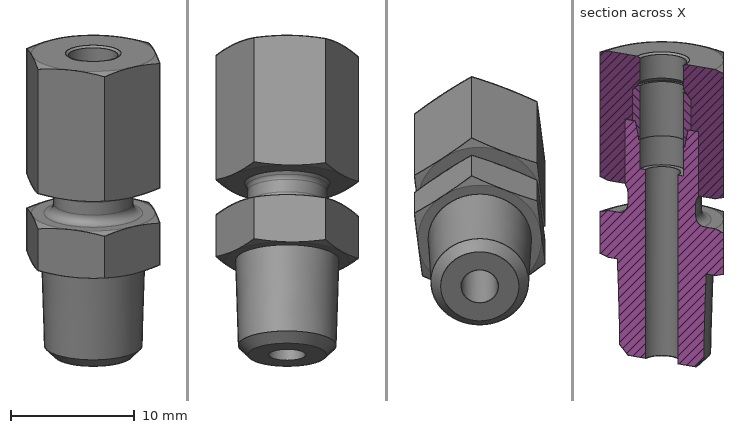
import cadquery as cq
import math

total_height = 25.5
thread_length = 8.0
body_hex_top = 12.0
nut_bottom = 14.5
body_top = 20.0

across_flats = 10.0
hex_corner_diameter = across_flats / math.cos(math.pi / 6)
hex_chamfer_angle = math.radians(17)

pipe_thread_tip_diameter = 7.9
pipe_thread_taper = 1 / 16
pipe_thread_chamfer = 0.8
neck_diameter = 6.4
neck_fillet_radius = 0.8
nut_thread_diameter = 6.9
runout_angle = math.radians(30)
flow_bore_diameter = 3.0
tube_diameter = 4.0
tube_stop_height = 16.01

ferrule_diameter = 5.5
ferrule_top = 23.05
ferrule_top_diameter = 4.6
ferrule_nose_diameter = 4.9
ferrule_nose_length = 1.53
ferrule_nose_angle = math.radians(12)

mouth_diameter = 4.5
mouth_chamfer_depth = 0.15


def revolve_profile(profile):
    """Turn a closed (radius, height) profile about the Z axis."""
    return profile.close().revolve(360, (0, 0, 0), (0, 1, 0))


def cylinder(diameter, bottom, top):
    """Upright cylinder on the Z axis between two heights."""
    return cq.Workplane("XY").workplane(offset=bottom).circle(diameter / 2).extrude(top - bottom)


def chamfered_hex(bottom, top):
    """Hexagonal prism, corners along Y, both ends turned down to the flats."""
    prism = (
        cq.Workplane("XY")
        .workplane(offset=bottom)
        .polygon(6, hex_corner_diameter)
        .extrude(top - bottom)
        .rotate((0, 0, 0), (0, 0, 1), 30)
    )
    flat_radius = across_flats / 2
    corner_radius = hex_corner_diameter / 2
    drop = (corner_radius - flat_radius) * math.tan(hex_chamfer_angle)
    envelope = revolve_profile(
        cq.Workplane("XZ")
        .moveTo(0, bottom)
        .lineTo(flat_radius, bottom)
        .lineTo(corner_radius, bottom + drop)
        .lineTo(corner_radius, top - drop)
        .lineTo(flat_radius, top)
        .lineTo(0, top)
    )
    return prism.intersect(envelope)


def make_pipe_thread():
    """Tapered thread envelope, widening upward from a 45 degree lead-in chamfer."""
    small_radius = pipe_thread_tip_diameter / 2
    large_radius = small_radius + (thread_length - pipe_thread_chamfer) * pipe_thread_taper / 2
    return revolve_profile(
        cq.Workplane("XZ")
        .lineTo(small_radius - pipe_thread_chamfer, 0)
        .lineTo(small_radius, pipe_thread_chamfer)
        .lineTo(large_radius, thread_length)
        .lineTo(0, thread_length)
    )


def make_neck():
    """Relief groove above the hexagon, then the thread that carries the nut."""
    neck_radius = neck_diameter / 2
    thread_radius = nut_thread_diameter / 2
    r = neck_fillet_radius
    lower_midpoint = r * (1 - math.sqrt(0.5))
    upper_arc_in = r * (1 - math.cos(runout_angle))
    upper_arc_rise = r * math.sin(runout_angle)
    runout_rise = (thread_radius - neck_radius - upper_arc_in) / math.tan(runout_angle)
    upper_arc_start = nut_bottom - runout_rise - upper_arc_rise
    half_angle = runout_angle / 2
    return revolve_profile(
        cq.Workplane("XZ")
        .moveTo(0, body_hex_top)
        .lineTo(neck_radius + r, body_hex_top)
        .threePointArc(
            (neck_radius + lower_midpoint, body_hex_top + lower_midpoint),
            (neck_radius, body_hex_top + r),
        )
        .lineTo(neck_radius, upper_arc_start)
        .threePointArc(
            (neck_radius + r * (1 - math.cos(half_angle)), upper_arc_start + r * math.sin(half_angle)),
            (neck_radius + upper_arc_in, upper_arc_start + upper_arc_rise),
        )
        .lineTo(thread_radius, nut_bottom)
        .lineTo(thread_radius, body_top)
        .lineTo(0, body_top)
    )


def make_ferrule_envelope():
    """Solid outside shape of the ferrule: tapered nose, collar and a 45 degree upper cone."""
    collar_radius = ferrule_diameter / 2
    nose_radius = ferrule_nose_diameter / 2
    top_radius = ferrule_top_diameter / 2
    nose_bottom = body_top - ferrule_nose_length
    nose_tip_radius = nose_radius - ferrule_nose_length * math.tan(ferrule_nose_angle)
    return revolve_profile(
        cq.Workplane("XZ")
        .moveTo(0, nose_bottom)
        .lineTo(nose_tip_radius, nose_bottom)
        .lineTo(nose_radius, body_top)
        .lineTo(collar_radius, body_top)
        .lineTo(collar_radius, ferrule_top - (collar_radius - top_radius))
        .lineTo(top_radius, ferrule_top)
        .lineTo(0, ferrule_top)
    )


def make_nut_seat():
    """45 degree cone of the nut above the ferrule, narrowing to the tube bore."""
    seat_radius = ferrule_top_diameter / 2
    bore_radius = tube_diameter / 2
    seat_top = ferrule_top + seat_radius - bore_radius
    return revolve_profile(
        cq.Workplane("XZ")
        .moveTo(0, ferrule_top)
        .lineTo(seat_radius, ferrule_top)
        .lineTo(bore_radius, seat_top)
        .lineTo(0, seat_top)
    )


def make_mouth_chamfer():
    """Shallow countersink where the tube enters the nut."""
    return revolve_profile(
        cq.Workplane("XZ")
        .moveTo(0, total_height - mouth_chamfer_depth)
        .lineTo(tube_diameter / 2, total_height - mouth_chamfer_depth)
        .lineTo(mouth_diameter / 2, total_height)
        .lineTo(0, total_height)
    )


def make_body():
    """Screw-in body with a flow bore, a tube socket and a tapered ferrule seat."""
    outside = make_pipe_thread().union(chamfered_hex(thread_length, body_hex_top)).union(make_neck())
    return (
        outside.cut(cylinder(flow_bore_diameter, 0, body_top))
        .cut(cylinder(tube_diameter, tube_stop_height, body_top))
        .cut(make_ferrule_envelope())
    )


def make_ferrule():
    """Ferrule ring bored for the tube."""
    return make_ferrule_envelope().cut(cylinder(tube_diameter, tube_stop_height, ferrule_top))


def make_nut():
    """Union nut: threaded bore below, ferrule seat in the middle, tube bore above."""
    return (
        chamfered_hex(nut_bottom, total_height)
        .cut(cylinder(nut_thread_diameter, nut_bottom, body_top))
        .cut(make_ferrule_envelope())
        .cut(make_nut_seat())
        .cut(cylinder(tube_diameter, ferrule_top, total_height))
        .cut(make_mouth_chamfer())
    )


body = make_body().solids()
ferrule = make_ferrule().solids()
nut = make_nut().solids()

result = cq.Compound.makeCompound([body.val(), ferrule.val(), nut.val()])